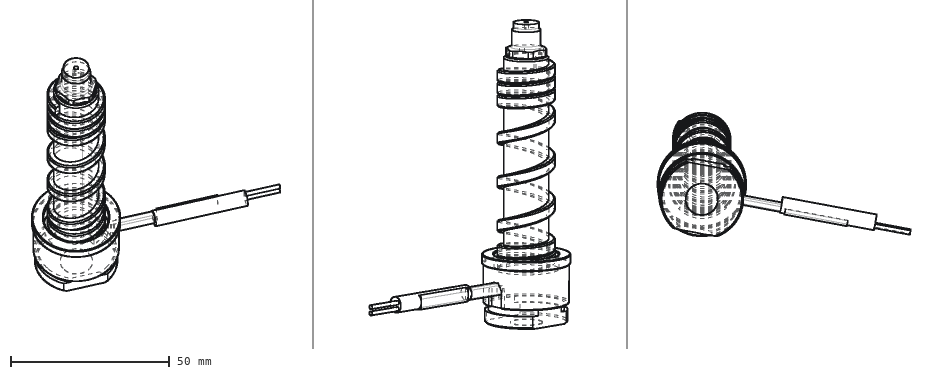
import cadquery as cq
import math

total_height = 96.2
total_depth = 81.0
total_width = 28.0

pad_radius = 5.1
foot_bottom_z = 0.2
foot_top_z = 4.2
foot_radius = 13.1
foot_chamfer = 0.5
neck_radius = 12.0
foot_across_flats = 21.9

housing_bottom_z = 6.3
housing_radius = 13.6
housing_chamfer = 0.4
collar_bottom_z = 18.9
collar_top_z = 22.0
collar_radius = total_width / 2
collar_chamfer = 0.3
recess_radius = 10.2
recess_depth = 4.8
recess_chamfer = 0.4

slot_width = 5.8
slot_arch_z = 11.5

shaft_radius = 7.1
shaft_top_z = 85.4
shaft_chamfer = 0.6
undercut_radius = 5.9
undercut_height = 0.24
hex_sides = 6
hex_across_flats = 12.0
hex_corner_radius = 6.5
hex_corner_z = 87.7
hex_cone_angle = 25.0
hex_fillet = 0.9
spigot_diameter = 9.1
spigot_radius = spigot_diameter / 2
spigot_top_z = 93.8
spigot_cone_angle = 45.0
spigot_fillet = 1.0
tip_radius = 4.0
tip_hole_radius = 0.7
tip_hole_depth = 1.9

band_outer_radius = 9.1
band_root_overlap = 0.4
band_root_radius = shaft_radius - band_root_overlap
band_width = 3.75
band_chamfer = 0.5
wide_pitch = 14.0
wide_start_angle = -24.0
wide_start_z = 28.1
wide_turns = 2.82
blend_turns = 0.375
lower_tight_turns = 1.5
upper_tight_turns = 2.7
upper_tight_rise = 10.8
tight_pitch = upper_tight_rise / upper_tight_turns
samples_per_turn = 24

cable_z = 12.5
jacket_x = -0.72
jacket_width = 2.5
jacket_height = 3.8
jacket_fillet = 0.6
sleeve_z = 12.7
sleeve_diameter = 5.1
sleeve_radius = sleeve_diameter / 2
sleeve_start_y = 25.5
sleeve_end_y = 55.6
rib_start_y = 26.9
rib_end_y = 46.9
rib_height = 4.6
rib_fillet = 1.0
wire_x = -1.0
wire_radius = 0.7
wire_spacing = 2.0
wire_end_y = total_depth - collar_radius


def cylinder(radius, bottom_z, top_z):
    return cq.Workplane("XY").workplane(offset=bottom_z).circle(radius).extrude(top_z - bottom_z)


def y_plane(x, y, z):
    """Plane at (x, y, z) facing +Y, with its local y along Z."""
    return cq.Workplane(cq.Plane(origin=(x, y, z), xDir=(-1, 0, 0), normal=(0, 1, 0)))


def make_base():
    foot = cylinder(foot_radius, foot_bottom_z, foot_top_z).faces("<Z").chamfer(foot_chamfer)
    neck = cylinder(neck_radius, foot_top_z, housing_bottom_z)
    flats = cq.Workplane("XY").box(foot_across_flats, 2 * foot_radius, housing_bottom_z, (True, True, False))
    pad = cylinder(pad_radius, 0, foot_bottom_z)
    return foot.union(neck).intersect(flats).union(pad)


def make_housing():
    body = cylinder(housing_radius, housing_bottom_z, collar_bottom_z).faces("<Z").chamfer(housing_chamfer)
    slot_arch = y_plane(0, neck_radius, slot_arch_z).circle(slot_width / 2).extrude(housing_radius)
    slot_legs = (
        cq.Workplane("XY")
        .box(slot_width, housing_radius, slot_arch_z, (True, False, False))
        .translate((0, neck_radius, 0))
    )
    collar = cylinder(collar_radius, collar_bottom_z, collar_top_z).faces("<Z or >Z").chamfer(collar_chamfer)
    recess = cylinder(recess_radius, collar_top_z - recess_depth, collar_top_z)
    collar_ring = collar.cut(recess)
    recess_rim = cq.selectors.RadiusNthSelector(0)
    collar_ring = collar_ring.faces(">Z").edges(recess_rim).chamfer(recess_chamfer)
    return body.cut(slot_arch).cut(slot_legs).cut(recess).union(collar_ring)


def flare_points(radius, cone_radius, cone_z, cone_angle, fillet):
    """Start and end of the fillet that blends a cylinder into the cone widening below it."""
    slope = math.radians(cone_angle)
    end_radius = radius + fillet * (1 - math.sin(slope))
    end_z = cone_z + (cone_radius - end_radius) * math.tan(slope)
    return (radius, end_z + fillet * math.cos(slope)), (end_radius, end_z)


def make_shaft():
    shaft = cylinder(shaft_radius, housing_bottom_z, shaft_top_z).faces(">Z").chamfer(shaft_chamfer)

    hex_fillet_start, hex_fillet_end = flare_points(
        spigot_radius, hex_corner_radius, hex_corner_z, hex_cone_angle, hex_fillet
    )
    tip_fillet_start, tip_fillet_end = flare_points(
        tip_radius, spigot_radius, spigot_top_z, spigot_cone_angle, spigot_fillet
    )
    head = (
        cq.Workplane("XZ")
        .moveTo(0, shaft_top_z)
        .lineTo(undercut_radius, shaft_top_z)
        .lineTo(undercut_radius, shaft_top_z + undercut_height)
        .lineTo(hex_corner_radius, shaft_top_z + undercut_height)
        .lineTo(hex_corner_radius, hex_corner_z)
        .lineTo(*hex_fillet_end)
        .radiusArc(hex_fillet_start, hex_fillet)
        .lineTo(spigot_radius, spigot_top_z)
        .lineTo(*tip_fillet_end)
        .radiusArc(tip_fillet_start, spigot_fillet)
        .lineTo(tip_radius, total_height)
        .lineTo(0, total_height)
        .close()
        .revolve(360, (0, 0, 0), (0, 1, 0))
    )
    hex_prism = (
        cq.Workplane("XY")
        .workplane(offset=shaft_top_z)
        .polygon(hex_sides, hex_across_flats, circumscribed=True)
        .extrude(total_height - shaft_top_z)
    )
    hole = cylinder(tip_hole_radius, total_height - tip_hole_depth, total_height)
    return shaft.union(head.intersect(hex_prism)).cut(hole)


def band_rise(turns):
    """Height gained from the start of the wide coil; the pitch blends linearly to the tight one."""
    if turns < 0:
        return -blended_rise(-turns)
    if turns <= wide_turns:
        return wide_pitch * turns
    return wide_pitch * wide_turns + blended_rise(turns - wide_turns)


def blended_rise(turns):
    """Height gained along one end of the band, starting where the wide coil stops."""
    blend = min(turns, blend_turns)
    pitch_drop = (wide_pitch - tight_pitch) * blend / blend_turns
    return (wide_pitch - pitch_drop / 2) * blend + tight_pitch * (turns - blend)


def make_band():
    first_turn = -(blend_turns + lower_tight_turns)
    last_turn = wide_turns + blend_turns + upper_tight_turns
    steps = round((last_turn - first_turn) * samples_per_turn)
    stations = [first_turn + (last_turn - first_turn) * i / steps for i in range(steps + 1)]

    half = band_width / 2
    shoulder_radius = band_outer_radius - band_chamfer
    profile = [
        (band_root_radius, -half),
        (shoulder_radius, -half),
        (band_outer_radius, band_chamfer - half),
        (band_outer_radius, half - band_chamfer),
        (shoulder_radius, half),
        (band_root_radius, half),
    ]

    def point(corner, turns):
        radius, offset = corner
        angle = math.radians(wide_start_angle) + 2 * math.pi * turns
        height = wide_start_z + band_rise(turns) + offset
        return cq.Vector(radius * math.cos(angle), radius * math.sin(angle), height)

    edges = [cq.Edge.makeSpline([point(corner, t) for t in stations]) for corner in profile]
    faces = [cq.Face.makeRuledSurface(edges[i - 1], edges[i]) for i in range(len(edges))]
    for end in (first_turn, last_turn):
        outline = cq.Wire.makePolygon([point(corner, end) for corner in profile], close=True)
        faces.append(cq.Face.makeFromWires(outline))
    return cq.Workplane(cq.Solid.makeSolid(cq.Shell.makeShell(faces)))


def make_cable():
    jacket = (
        y_plane(jacket_x, recess_radius, cable_z)
        .rect(jacket_width, jacket_height)
        .extrude(sleeve_start_y - recess_radius)
        .edges("|Y")
        .fillet(jacket_fillet)
    )
    sleeve = y_plane(0, sleeve_start_y, sleeve_z).circle(sleeve_radius).extrude(sleeve_end_y - sleeve_start_y)
    rib = (
        y_plane(-sleeve_radius / 2, rib_start_y, cable_z)
        .rect(sleeve_radius, rib_height)
        .extrude(rib_end_y - rib_start_y)
        .edges("|Y and <X")
        .fillet(rib_fillet)
    )
    wires = (
        y_plane(wire_x, sleeve_end_y, cable_z)
        .pushPoints([(0, -wire_spacing / 2), (0, wire_spacing / 2)])
        .circle(wire_radius)
        .extrude(wire_end_y - sleeve_end_y)
    )
    return jacket.union(sleeve).union(rib).union(wires)


result = make_shaft().union(make_band()).union(make_base()).union(make_housing()).union(make_cable())